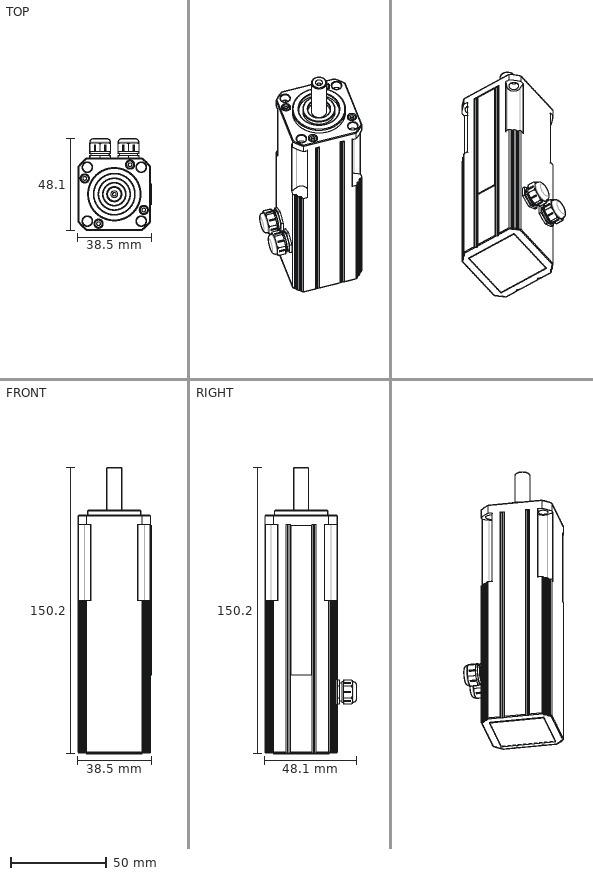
import cadquery as cq
import math

total_height = 150.2
foot_height = 0.5
pocket_floor = 80.4
flange_bottom = 120.2
flange_top = 125.1
pilot_top = 127.8

body_width = 38.0
half_width = body_width / 2
corner_diameter = 47.8
foot_width = 29.1
edge_chamfer = 0.5
bore_chamfer = 0.3

shaft_diameter = 8.0
shaft_gap_diameter = 11.7
seal_diameter = 17.0
pilot_bore_diameter = 21.3
pilot_diameter = 28.0
pilot_recess_depth = 2.3
center_hole_diameter = 1.8
center_hole_depth = 6
center_sink_diameter = 3.6
center_sink_angle = 60

mount_offset = 14.1
mount_hole_diameter = 5.0
pocket_radius = 3.6
pocket_half_angle = math.radians(19)
pocket_mouth_chamfer = 0.3

screw_x, screw_y = 8.3, 15.5
counterbore_diameter = 4.8
counterbore_depth = 2.3
screw_head_diameter = 3.8
screw_head_height = 1.8
socket_diameter = 2.0
socket_depth = 1.2

slot_spacing = 13.5
slot_width, slot_depth = 2.3, 0.5
slot_core_width, slot_core_depth = 0.6, 0.9

groove_offset = 1.4
groove_width, groove_depth = 1.7, 0.5
groove_core_width, groove_core_depth = 0.5, 0.8

label_width = 10.8
label_bottom, label_top = 41.3, 119.5
label_thickness = 0.5

gland_spacing = 14.9
gland_height = 32.5
gland_hex = 11.1
gland_neck_diameter = 9.6
gland_base_length = 1.2
gland_neck_length = 1.2
gland_collar_length = 0.9
gland_nut_length = 4.5
nut_chamfer = 0.5
gland_dome_length = 2.3
gland_tip_diameter = 7.2
gland_dome_diameter = 10.8
notch_width, notch_depth = 0.6, 0.3
notch_length = 3.5


def cylinder(diameter, bottom, top):
    return cq.Workplane("XY").workplane(offset=bottom).circle(diameter / 2).extrude(top - bottom)


def flared_bore(diameter, bottom, top):
    """Cutter for a bore whose upper rim is chamfered."""
    radius = diameter / 2
    rim_start = cq.Vector(0, 0, top - bore_chamfer)
    rim = cq.Solid.makeCone(radius, radius + bore_chamfer, bore_chamfer, rim_start)
    return cylinder(diameter, bottom, top).union(cq.Workplane(rim))


def block(x_size, y_size, bottom, top):
    return cq.Workplane("XY").workplane(offset=bottom).rect(x_size, y_size).extrude(top - bottom)


def around_four_corners(shape):
    """Four copies of a shape, a quarter turn apart around the shaft axis."""
    copies = cq.Workplane("XY")
    for quarter in range(4):
        copies = copies.add(shape.rotate((0, 0, 0), (0, 0, 1), 90 * quarter))
    return copies.combine()


def square_bar(bottom, top):
    return block(body_width, body_width, bottom, top).intersect(cylinder(corner_diameter, bottom, top))


def corner_pocket():
    """Round-ended pocket on the +X diagonal, opening outward, turned into the +X +Y corner."""
    center = mount_offset * math.sqrt(2)
    tangent_x = center - pocket_radius * math.sin(pocket_half_angle)
    tangent_y = pocket_radius * math.cos(pocket_half_angle)
    mouth_x = body_width
    mouth_y = tangent_y + (mouth_x - tangent_x) * math.tan(pocket_half_angle)
    return (
        cq.Workplane("XY")
        .workplane(offset=pocket_floor)
        .moveTo(mouth_x, -mouth_y)
        .lineTo(tangent_x, -tangent_y)
        .threePointArc((center - pocket_radius, 0), (tangent_x, tangent_y))
        .lineTo(mouth_x, mouth_y)
        .close()
        .extrude(flange_bottom - pocket_floor)
        .rotate((0, 0, 0), (0, 0, 1), 45)
    )


def stepped_slot(surface_x, middle_y, width, depth, core_width, core_depth):
    """Cutter for a full-height slot in a surface facing +X, with a narrower core in its floor."""
    wide = block(2 * depth, width, 0, flange_bottom)
    core = block(2 * core_depth, core_width, 0, flange_bottom)
    return wide.union(core).translate((surface_x, middle_y, 0))


def corner_groove(middle):
    """Groove in the turned corner on the +X diagonal, turned into the +X +Y corner."""
    groove = stepped_slot(
        corner_diameter / 2, middle, groove_width, groove_depth, groove_core_width, groove_core_depth
    )
    return groove.rotate((0, 0, 0), (0, 0, 1), 45)


def side_slot(middle):
    return stepped_slot(half_width, middle, slot_width, slot_depth, slot_core_width, slot_core_depth)


def is_pocket_mouth(edge):
    """True for the upright edges where a corner pocket meets a flat side of the housing."""
    center = edge.Center()
    on_side = math.isclose(max(abs(center.x), abs(center.y)), half_width)
    pocket_middle = (pocket_floor + flange_bottom) / 2
    return on_side and math.isclose(center.z, pocket_middle)


def make_body():
    body = square_bar(foot_height, flange_bottom).faces("<Z").chamfer(edge_chamfer)
    body = body.cut(around_four_corners(corner_pocket()))
    body = body.edges("|Z").filter(is_pocket_mouth).chamfer(pocket_mouth_chamfer)
    body = body.union(block(foot_width, foot_width, 0, foot_height))
    for side in (-1, 1):
        slot = side_slot(side * slot_spacing / 2)
        body = body.cut(slot).cut(slot.mirror("YZ"))
        body = body.cut(around_four_corners(corner_groove(side * groove_offset)))
    return body


def make_flange():
    flange = square_bar(flange_bottom, flange_top).faces(">Z").chamfer(edge_chamfer)
    flange = flange.union(cylinder(pilot_diameter, flange_top, pilot_top).faces(">Z").chamfer(edge_chamfer))

    recess_floor = pilot_top - pilot_recess_depth
    flange = flange.cut(flared_bore(pilot_bore_diameter, recess_floor, pilot_top))
    seal = cylinder(seal_diameter, recess_floor, pilot_top).faces(">Z").chamfer(bore_chamfer)
    flange = flange.union(seal.cut(flared_bore(shaft_gap_diameter, recess_floor, pilot_top)))

    mount_hole = flared_bore(mount_hole_diameter, flange_bottom, flange_top)
    flange = flange.cut(around_four_corners(mount_hole.translate((mount_offset, mount_offset, 0))))

    counterbore_floor = flange_top - counterbore_depth
    head_top = counterbore_floor + screw_head_height
    counterbore = cylinder(counterbore_diameter, counterbore_floor, flange_top)
    head = cylinder(screw_head_diameter, counterbore_floor, head_top)
    socket = cylinder(socket_diameter, head_top - socket_depth, head_top)
    clearance = counterbore.cut(head.cut(socket))
    return flange.cut(around_four_corners(clearance.translate((screw_x, screw_y, 0))))


def make_shaft():
    shaft = cylinder(shaft_diameter, flange_bottom, total_height).faces(">Z").chamfer(edge_chamfer)
    end = shaft.faces(">Z").workplane()
    return end.cskHole(center_hole_diameter, center_sink_diameter, center_sink_angle, center_hole_depth)


def make_gland():
    """Cable gland standing on the XY plane, its hexagon corners along Y."""
    hex_corners = gland_hex / math.cos(math.pi / 6)
    neck_bottom = gland_base_length
    collar_bottom = neck_bottom + gland_neck_length
    nut_bottom = collar_bottom + gland_collar_length
    nut_top = nut_bottom + gland_nut_length
    tip = nut_top + gland_dome_length

    def hexagon(bottom, length):
        prism = cq.Workplane("XY").polygon(6, hex_corners).extrude(length)
        return prism.rotate((0, 0, 0), (0, 0, 1), 90).translate((0, 0, bottom))

    nut = hexagon(nut_bottom, gland_nut_length)
    nut = nut.intersect(cylinder(hex_corners, nut_bottom, nut_top).faces(">Z").chamfer(nut_chamfer))
    notch = (
        cq.Workplane("XY")
        .workplane(offset=nut_bottom)
        .center(gland_hex / 2, 0)
        .rect(2 * notch_depth, notch_width)
        .extrude(notch_length)
    )
    for face in range(6):
        nut = nut.cut(notch.rotate((0, 0, 0), (0, 0, 1), 60 * face))

    tip_rounding = (gland_dome_diameter - gland_tip_diameter) / 2
    dome = cylinder(gland_dome_diameter, nut_top, tip).faces(">Z").edges().fillet(tip_rounding)
    return (
        hexagon(0, gland_base_length)
        .union(cylinder(gland_neck_diameter, neck_bottom, collar_bottom))
        .union(cylinder(gland_hex, collar_bottom, nut_bottom))
        .union(nut)
        .union(dome)
    )


def make_label():
    label = block(label_thickness, label_width, label_bottom, label_top)
    return label.translate((half_width + label_thickness / 2, 0, 0))


result = make_body().union(make_flange()).union(make_shaft()).union(make_label())

gland = make_gland().rotate((0, 0, 0), (1, 0, 0), -90)
for side in (-1, 1):
    result = result.union(gland.translate((side * gland_spacing / 2, half_width, gland_height)))